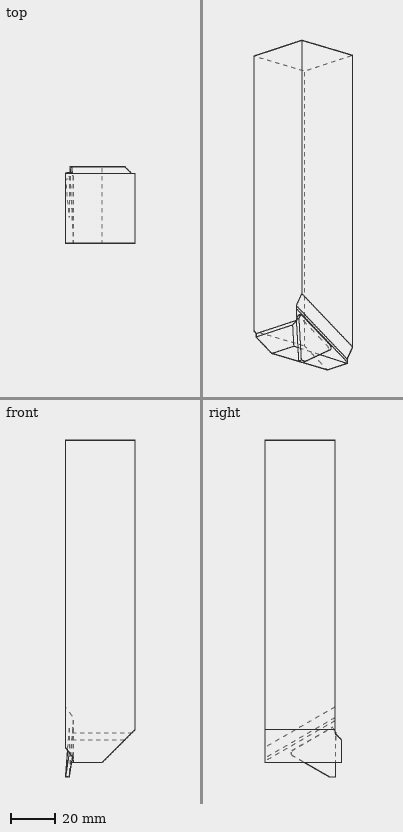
import cadquery as cq
import math

SHANK_WIDTH = 31.63
SHANK_DEPTH = 31.75
SHANK_LENGTH = 145.98
END_BEVEL = 15.0

BOSS_PROJECTION = 3.0
BOSS_HEIGHT = 10.35

SEAT_INCLINE = 30.0
FLOOR_TILT = 5.0
FLOOR_DEPTH = 3.6
FLOOR_TOP = 0.6
WALL_TOP = 6.0
WALL_BOTTOM = 1.8
WALL_BOTTOM_DEPTH = 3.65
RELIEF_SAG = 0.25
CUTTER_OUTSIDE = 6.0
CUTTER_BOTTOM = -40.0
CUTTER_REACH = 80.0

INSERT_SIDE = 25.0
INSERT_THICKNESS = 1.65
INSERT_TOP = -1.5
INSERT_INNER_CORNER = 11.2
INNER_CORNER_RADIUS = 1.5
CORNER_TRIM = 1.6

incline = math.radians(SEAT_INCLINE)
tilt = math.radians(FLOOR_TILT)
inward = cq.Vector(1, 0, 0)
along_seat = cq.Vector(0, math.cos(incline), math.sin(incline))
up_section = cq.Vector(0, -math.sin(incline), math.cos(incline))
up_floor = up_section * math.cos(tilt) + inward * math.sin(tilt)


def bevelled_bar(depth):
    """The shank's XZ outline, extruded from y = 0 towards +Y."""
    outline = [
        (0, 0),
        (SHANK_WIDTH - END_BEVEL, 0),
        (SHANK_WIDTH, END_BEVEL),
        (SHANK_WIDTH, SHANK_LENGTH),
        (0, SHANK_LENGTH),
    ]
    return cq.Workplane("XZ").polyline(outline).close().extrude(-depth)


def support_boss():
    """The boss, running back through the shank and kept inside the shank's XZ outline."""
    outer_y = SHANK_DEPTH + BOSS_PROJECTION
    inner_height = BOSS_HEIGHT + BOSS_PROJECTION
    profile = [
        (0, 0),
        (outer_y, 0),
        (outer_y, BOSS_HEIGHT),
        (SHANK_DEPTH, inner_height),
        (0, inner_height),
    ]
    block = cq.Workplane("YZ").polyline(profile).close().extrude(SHANK_WIDTH)
    return block.intersect(bevelled_bar(outer_y))


def floor_depth(height):
    """Depth of the seat floor at a height in the seat's cross section."""
    return FLOOR_DEPTH + height * math.tan(tilt)


def seat_cutter():
    """Inclined wall, rounded relief and tilted floor, swept along the groove."""
    section = cq.Plane(
        origin=(0, 0, 0),
        xDir=inward.toTuple(),
        normal=inward.cross(up_section).toTuple(),
    )
    wall_slope = (WALL_TOP - WALL_BOTTOM) / WALL_BOTTOM_DEPTH
    return (
        cq.Workplane(section)
        .moveTo(-CUTTER_OUTSIDE, WALL_TOP + CUTTER_OUTSIDE * wall_slope)
        .lineTo(WALL_BOTTOM_DEPTH, WALL_BOTTOM)
        .sagittaArc((floor_depth(FLOOR_TOP), FLOOR_TOP), -RELIEF_SAG)
        .lineTo(floor_depth(CUTTER_BOTTOM), CUTTER_BOTTOM)
        .lineTo(-CUTTER_OUTSIDE, CUTTER_BOTTOM)
        .close()
        .extrude(CUTTER_REACH, both=True)
    )


def make_holder():
    """Shank and boss with the insert seat cut through both."""
    return bevelled_bar(SHANK_DEPTH).union(support_boss()).cut(seat_cutter())


def make_insert():
    """The insert, resting on the seat floor."""
    floor = cq.Plane(
        origin=(FLOOR_DEPTH, 0, 0),
        xDir=along_seat.toTuple(),
        normal=along_seat.cross(up_floor).toTuple(),
    )
    height = INSERT_SIDE * math.sqrt(3) / 2
    inner = cq.Vector(INSERT_INNER_CORNER, INSERT_TOP)
    upper = inner + cq.Vector(INSERT_SIDE, 0)
    lower = inner + cq.Vector(INSERT_SIDE / 2, -height)
    short_trim = CORNER_TRIM / INSERT_SIDE
    long_trim = 2 * short_trim
    outline = [
        inner,
        upper + (inner - upper) * short_trim,
        upper + (lower - upper) * long_trim,
        lower + (upper - lower) * short_trim,
        lower + (inner - lower) * long_trim,
    ]
    blank = cq.Workplane(floor).polyline(outline).close().extrude(-INSERT_THICKNESS)
    inner_edge_middle = inner - cq.Vector(0, 0, INSERT_THICKNESS / 2)
    inner_edge = cq.NearestToPointSelector(floor.toWorldCoords(inner_edge_middle).toTuple())
    return blank.edges(inner_edge).fillet(INNER_CORNER_RADIUS)


holder = make_holder()
insert = make_insert()

result = cq.Compound.makeCompound([holder.solids().val(), insert.solids().val()])